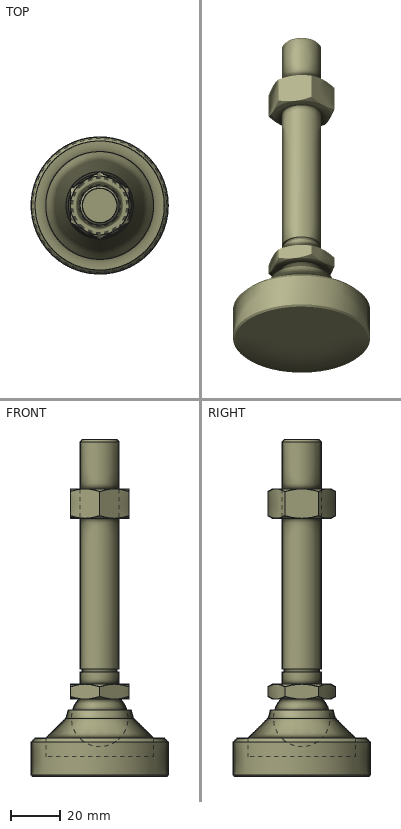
import cadquery as cq
import math

TOTAL_HEIGHT = 137.5
PAD_HEIGHT = 15.7
CUP_FLOOR = 8.2
COLLAR_BOTTOM = 23.8
CUP_TOP = 27.2
HEX_BOTTOM = 31.6
GROOVE_BOTTOM = 42.6
NUT_BOTTOM = 105.3

PAD_RADIUS = 56.0 / 2
PAD_TOP_CHAMFER = 1.6
PAD_BOTTOM_CHAMFER = 0.7

CUP_RADIUS = 22.0
COLLAR_BOTTOM_RADIUS = 13.8
COLLAR_TOP_RADIUS = 12.8

BALL_RADIUS = 11.5
BALL_CENTER = 23.8
ROD_RADIUS = 8.0
ROD_TIP_CHAMFER = 1.0
GROOVE_WIDTH = 1.2
GROOVE_RADIUS = 7.2
HEX_HEIGHT = 6.0

ACROSS_FLATS = 23.9
NUT_HEIGHT = 12.0
HEX_CHAMFER_ANGLE = 30.0


def cylinder(radius, bottom, top):
    return cq.Workplane("XY").workplane(offset=bottom).circle(radius).extrude(top - bottom)


def revolve_profile(points):
    """Revolve an (r, z) outline around the Z axis."""
    return cq.Workplane("XZ").polyline(points).close().revolve(360, (0, 0), (0, 1))


def ball():
    return cq.Workplane("XY").sphere(BALL_RADIUS).translate((0, 0, BALL_CENTER))


def chamfered_hexagon(bottom, height):
    """Hexagonal block with flats facing +X and -X and its corners turned off conically."""
    flat_radius = ACROSS_FLATS / 2
    corner_radius = flat_radius / math.cos(math.pi / 6)
    corner_drop = (corner_radius - flat_radius) * math.tan(math.radians(HEX_CHAMFER_ANGLE))
    top = bottom + height
    prism = (
        cq.Workplane("XY")
        .workplane(offset=bottom)
        .polygon(6, 2 * corner_radius)
        .extrude(height)
        .rotate((0, 0, 0), (0, 0, 1), 30)
    )
    turned_envelope = revolve_profile([
        (0, bottom),
        (flat_radius, bottom),
        (corner_radius, bottom + corner_drop),
        (corner_radius, top - corner_drop),
        (flat_radius, top),
        (0, top),
    ])
    return prism.intersect(turned_envelope)


def make_pad():
    """Round pad with a recess for the cup."""
    blank = cylinder(PAD_RADIUS, 0, PAD_HEIGHT)
    blank = blank.faces(">Z").chamfer(PAD_TOP_CHAMFER)
    blank = blank.faces("<Z").chamfer(PAD_BOTTOM_CHAMFER)
    return blank.cut(cylinder(CUP_RADIUS, CUP_FLOOR, PAD_HEIGHT))


def make_cup():
    """Conical cup, seated in the pad, with a spherical socket for the ball."""
    blank = revolve_profile([
        (0, CUP_FLOOR),
        (CUP_RADIUS, CUP_FLOOR),
        (CUP_RADIUS, PAD_HEIGHT),
        (COLLAR_BOTTOM_RADIUS, COLLAR_BOTTOM),
        (COLLAR_TOP_RADIUS, CUP_TOP),
        (0, CUP_TOP),
    ])
    return blank.cut(ball())


def make_stud():
    """Ball, wrench hexagon and rod in one piece, with an undercut above the hexagon."""
    rod = cylinder(ROD_RADIUS, BALL_CENTER, TOTAL_HEIGHT).faces(">Z").chamfer(ROD_TIP_CHAMFER)
    groove_top = GROOVE_BOTTOM + GROOVE_WIDTH
    groove = cylinder(ROD_RADIUS, GROOVE_BOTTOM, groove_top).cut(
        cylinder(GROOVE_RADIUS, GROOVE_BOTTOM, groove_top)
    )
    hexagon = chamfered_hexagon(HEX_BOTTOM, HEX_HEIGHT)
    return rod.cut(groove).union(ball()).union(hexagon)


def make_nut():
    """Lock nut whose bore fits the rod."""
    bore = cylinder(ROD_RADIUS, NUT_BOTTOM, NUT_BOTTOM + NUT_HEIGHT)
    return chamfered_hexagon(NUT_BOTTOM, NUT_HEIGHT).cut(bore)


pad = make_pad()
cup = make_cup()
stud = make_stud()
nut = make_nut()

result = cq.Compound.makeCompound([
    *pad.solids().vals(),
    *cup.solids().vals(),
    *stud.solids().vals(),
    *nut.solids().vals(),
])